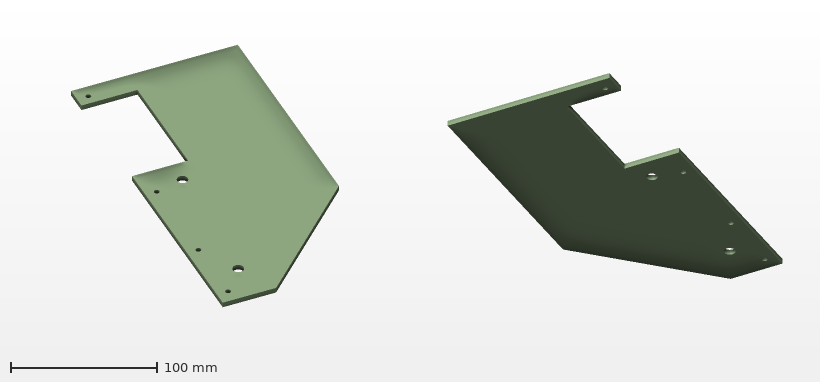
import cadquery as cq

length = 255.0
width = 125.0
thickness = 4.0

corner_cut = 85.0

leg_width = 17.5
notch_length = 85.0
notch_depth = 42.0

mounting_hole_diameter = 4.0
mounting_row_y = 8.5
mounting_hole_xs = (10.0, 125.0, 195.0, 245.0)

large_hole_diameter = 8.0
large_hole_centres = ((120.0, 30.0), (225.0, 25.0))


def make_plate():
    """Flat plate with the sloped corner and the front notch."""
    notch_right = leg_width + notch_length
    outline = [
        (0, 0),
        (leg_width, 0),
        (leg_width, notch_depth),
        (notch_right, notch_depth),
        (notch_right, 0),
        (length, 0),
        (length, width - corner_cut),
        (length - corner_cut, width),
        (0, width),
    ]
    return cq.Workplane("XY").polyline(outline).close().extrude(thickness)


def drill(plate, centres, diameter):
    """Cut through holes of one diameter at the given centres."""
    pins = cq.Workplane("XY").pushPoints(centres).circle(diameter / 2).extrude(thickness)
    return plate.cut(pins)


mounting_hole_centres = [(x, mounting_row_y) for x in mounting_hole_xs]

result = make_plate()
result = drill(result, mounting_hole_centres, mounting_hole_diameter)
result = drill(result, large_hole_centres, large_hole_diameter)